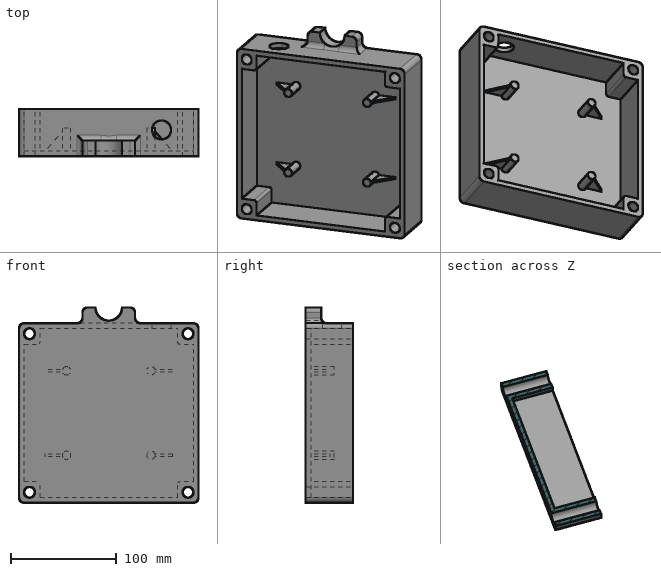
import cadquery as cq

side = 170.0
depth = 45.0
wall = 5.0
corner_radius = 5.0

post_size = 20.0
post_edge_radius = 2.5
screw_diameter = 10.0
screw_offset = (side - post_size) / 2

overall_height = 185.0
tab_width = 50.0
tab_depth = 15.0
tab_height = overall_height - side
tab_radius = 5.0
groove_diameter = 25.0

port_diameter = 18.0
port_x = 50.0
port_y = (depth + wall) / 2

standoff_diameter = 8.0
standoff_offset = 40.0
standoff_end = 27.0
rib_end = 23.3
rib_length = 16.3
rib_thickness = 2.0

overlap = wall / 2

mid_height = side / 2
CORNER_SIGNS = [(sx, sz) for sx in (-1, 1) for sz in (-1, 1)]


def block(x_size, y_size, z_size, x_center, y_start, z_center):
    """Box centred in X and Z that starts at y_start and extends toward +Y."""
    return (
        cq.Workplane("XY")
        .box(x_size, y_size, z_size, centered=(True, False, True))
        .translate((x_center, y_start, z_center))
    )


def rod(diameter, y_start, length, x_center, z_center):
    """Cylinder along +Y."""
    start = cq.Vector(x_center, y_start, z_center)
    return cq.Workplane(cq.Solid.makeCylinder(diameter / 2, length, start, cq.Vector(0, 1, 0)))


def make_shell():
    """Box with rounded corners and four posts left standing in its open cavity."""
    outer = block(side, depth, side, 0, 0, mid_height).edges("|Y").fillet(corner_radius)
    inner_side = side - 2 * wall
    cavity = block(inner_side, depth, inner_side, 0, wall, mid_height)
    for sx, sz in CORNER_SIGNS:
        post = block(post_size, depth, post_size, sx * screw_offset, 0, mid_height + sz * screw_offset)
        x_side = "<X" if sx > 0 else ">X"
        z_side = "<Z" if sz > 0 else ">Z"
        post = post.edges(f"|Y and {x_side} and {z_side}").fillet(post_edge_radius)
        cavity = cavity.cut(post)
    return outer.cut(cavity)


def add_tab(body):
    """Join the tab, cut its groove and blend its sides and back into the top wall."""
    tab_z = side + (tab_height - overlap) / 2
    tab = block(tab_width, tab_depth, tab_height + overlap, 0, 0, tab_z)
    tab = tab.edges("|Y and >Z").fillet(tab_radius)
    tab = tab.cut(rod(groove_diameter, 0, tab_depth, 0, overall_height))
    base = cq.selectors.BoxSelector(
        (-tab_width / 2 - overlap, 0, side - overlap / 2),
        (tab_width / 2 + overlap, tab_depth + overlap, side + overlap / 2),
        boundingbox=True,
    )
    return body.union(tab).edges(base).fillet(tab_radius)


def make_standoff(sx, sz):
    """Standoff with a sloping rib that runs down to the front wall, away from the centre."""
    x_center = sx * standoff_offset
    z_center = mid_height + sz * standoff_offset
    column = rod(standoff_diameter, overlap, standoff_end - overlap, x_center, z_center)
    rib_x = x_center + sx * standoff_diameter / 2
    rib = (
        cq.Workplane("XY", origin=(0, 0, z_center))
        .moveTo(x_center, overlap)
        .lineTo(rib_x + sx * rib_length, overlap)
        .lineTo(rib_x + sx * rib_length, wall)
        .lineTo(rib_x, rib_end)
        .lineTo(x_center, rib_end)
        .close()
        .extrude(rib_thickness / 2, both=True)
    )
    return column.union(rib)


result = add_tab(make_shell())
for sx, sz in CORNER_SIGNS:
    result = result.union(make_standoff(sx, sz))
    screw_hole = rod(screw_diameter, 0, depth, sx * screw_offset, mid_height + sz * screw_offset)
    result = result.cut(screw_hole)

port = cq.Workplane("XY", origin=(port_x, port_y, side - wall)).circle(port_diameter / 2).extrude(wall)
result = result.cut(port)